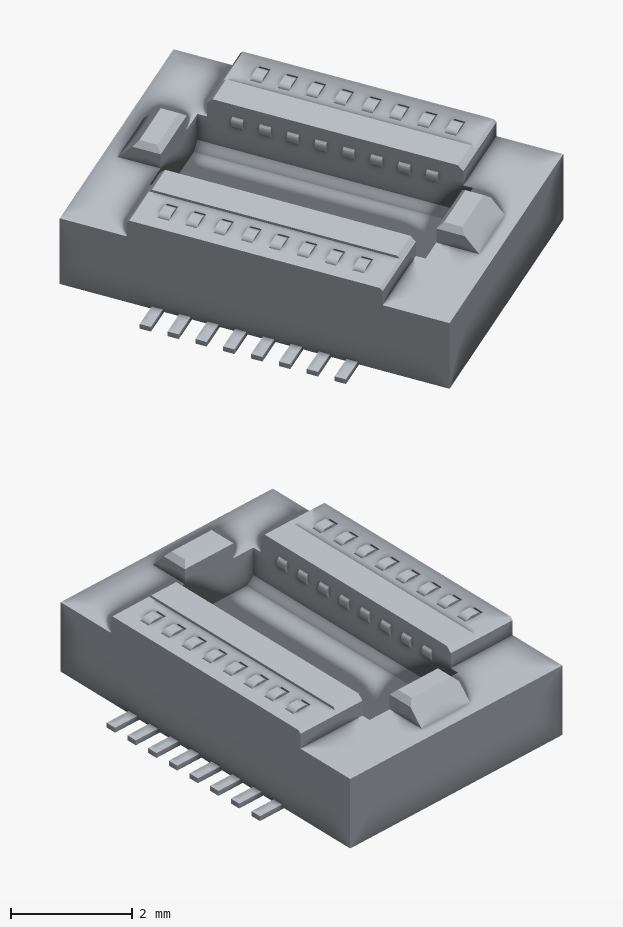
import cadquery as cq
import math

body_length = 7.0
body_width = 4.8
shoulder_height = 1.4
wall_height = 1.8

wall_length = 4.6
wall_chamfer = 0.1
ledge_drop = 0.05
ledge_start = 1.57

pocket_length = 4.95
pocket_width = 2.0
pocket_floor = 0.7
pocket_floor_chamfer = 0.15

latch_width = 1.1
latch_chamfer = 0.1
latch_base_end = 3.25
latch_top_end = 2.9

contact_count = 8
row_length = 3.5
contact_pitch = row_length / (contact_count - 1)
contact_width = 0.2
contact_thickness = 0.1
bend_radius = 0.15
head_inner = 1.75
head_outer = 2.15
lead_span = 5.8
lead_tip = lead_span / 2
lead_drop = 0.05
nose_reach = 0.055
nose_height = 1.43
nose_crown = 0.08
nose_top = 1.54


def box(length, width, bottom, top):
    """Box centred on the Z axis between two heights."""
    return cq.Workplane("XY").workplane(offset=bottom).rect(length, width).extrude(top - bottom)


def extrude_contact(profile):
    """Extrude a closed YZ outline to the contact width, centred on X = 0."""
    return profile.close().extrude(contact_width / 2, both=True)


def make_housing():
    block = box(body_length, body_width, 0, shoulder_height)
    walls = (
        box(wall_length, body_width, shoulder_height, wall_height)
        .faces(">Z").edges("|Y").chamfer(wall_chamfer)
    )
    ledge_width = body_width / 2 - ledge_start
    ledge_bottom = wall_height - ledge_drop
    ledge = box(wall_length, ledge_width, ledge_bottom, wall_height)
    ledge_y = ledge_start + ledge_width / 2
    for side in (-1, 1):
        walls = walls.cut(ledge.translate((0, side * ledge_y, 0)))
    pocket = (
        box(pocket_length, pocket_width, pocket_floor, wall_height)
        .faces("<Z").edges("|X").chamfer(pocket_floor_chamfer)
    )
    return block.union(walls).cut(pocket)


def make_latch():
    """Latch at the +X end, flush with the end wall of the pocket."""
    inner = pocket_length / 2
    latch = (
        cq.Workplane("XZ")
        .moveTo(inner, shoulder_height)
        .lineTo(latch_base_end, shoulder_height)
        .lineTo(latch_top_end, wall_height)
        .lineTo(inner + latch_chamfer, wall_height)
        .lineTo(inner, wall_height - latch_chamfer)
        .close()
        .extrude(latch_width / 2, both=True)
    )
    section = (
        cq.Workplane("YZ")
        .rect(latch_width, 2 * wall_height)
        .extrude(body_length)
        .faces(">Z").edges("|X").chamfer(latch_chamfer)
    )
    return latch.intersect(section)


def make_head_slot():
    """Slot in the wall top that receives the contact head."""
    return (
        box(contact_width, head_outer - head_inner, wall_height - bend_radius, wall_height)
        .translate((0, (head_inner + head_outer) / 2, 0))
    )


def make_head():
    """Bent-over top of the contact, rounded at both ends."""
    base = wall_height - bend_radius
    return extrude_contact(
        cq.Workplane("YZ")
        .moveTo(head_inner, base)
        .radiusArc((head_inner + bend_radius, wall_height), bend_radius)
        .lineTo(head_outer - bend_radius, wall_height)
        .radiusArc((head_outer, base), bend_radius)
    )


def make_lead():
    """Solder lead that bends out of the underside and runs outward."""
    bottom = -lead_drop
    top = bottom + contact_thickness
    rise = bend_radius - contact_thickness
    bend_inset = bend_radius - math.sqrt(bend_radius ** 2 - rise ** 2)
    return extrude_contact(
        cq.Workplane("YZ")
        .moveTo(lead_tip, top)
        .lineTo(lead_tip, bottom)
        .lineTo(head_outer + bend_radius, bottom)
        .radiusArc((head_outer + bend_inset, top), bend_radius)
    )


def make_nose():
    """Rounded contact nose on the pocket wall, with a sloping upper end."""
    wall = pocket_width / 2
    tip = wall - nose_reach
    root_drop = math.sqrt(bend_radius ** 2 - (bend_radius - nose_reach) ** 2)
    crown_inset = bend_radius - math.sqrt(bend_radius ** 2 - nose_crown ** 2)
    anchor = wall + contact_thickness
    return extrude_contact(
        cq.Workplane("YZ")
        .moveTo(anchor, nose_top)
        .lineTo(wall, nose_top)
        .lineTo(tip + crown_inset, nose_height + nose_crown)
        .threePointArc((tip, nose_height), (wall, nose_height - root_drop))
        .lineTo(anchor, nose_height - root_drop)
    )


def place_ends(shape):
    """Shape together with its mirror image at the -X end."""
    return shape.union(shape.mirror("YZ"))


def place_contacts(shape):
    """Copies of a +Y contact feature at every position of both rows."""
    row_start = -row_length / 2
    copies = cq.Workplane("XY")
    for index in range(contact_count):
        copy = shape.translate((row_start + index * contact_pitch, 0, 0))
        copies = copies.add(copy).add(copy.mirror("XZ"))
    return copies.combine()


result = (
    make_housing()
    .union(place_ends(make_latch()))
    .cut(place_contacts(make_head_slot()))
    .union(place_contacts(make_head()))
    .union(place_contacts(make_lead()))
    .union(place_contacts(make_nose()))
)